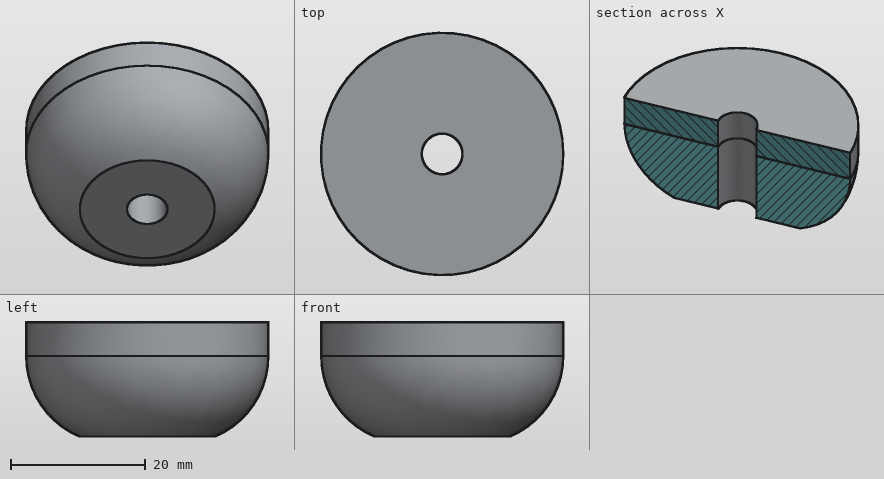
import cadquery as cq
import math

outer_radius = 18.0
bore_radius = 3.0
total_height = 17.0
disc_thickness = 5.0

base_radius = 10.0
dome_height = total_height - disc_thickness
side_inset = outer_radius - base_radius
side_arc_radius = (side_inset**2 + dome_height**2) / (2 * side_inset)
arc_center_radius = outer_radius - side_arc_radius

half_sweep = math.asin(dome_height / side_arc_radius) / 2
arc_mid_radius = arc_center_radius + side_arc_radius * math.cos(half_sweep)
arc_mid_z = dome_height - side_arc_radius * math.sin(half_sweep)


def make_dome():
    """Round-sided foot with a flat base and a straight bore through it."""
    return (
        cq.Workplane("XZ")
        .moveTo(bore_radius, 0)
        .lineTo(base_radius, 0)
        .threePointArc((arc_mid_radius, arc_mid_z), (outer_radius, dome_height))
        .lineTo(bore_radius, dome_height)
        .close()
        .revolve(360, (0, 0, 0), (0, 1, 0))
    )


def make_disc():
    """Flat cover disc on top of the dome, with the same bore."""
    return (
        cq.Workplane("XY")
        .workplane(offset=dome_height)
        .circle(outer_radius)
        .circle(bore_radius)
        .extrude(disc_thickness)
    )


dome = make_dome()
disc = make_disc()

result = cq.Compound.makeCompound([dome.val(), disc.val()])